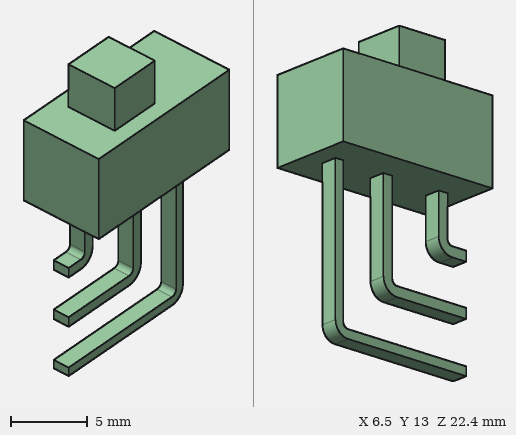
import cadquery as cq

overall_height = 22.35

body_width = 6.5
body_length = 2 * body_width
body_height = body_width

knob_side = 4.0
knob_height = 3.46
knob_offset_y = -1.48

pin_width = 1.3
pin_thickness = 0.78
longest_pin_thickness = 0.7
bend_inner_radius = 0.4
pin_row_pitch = 4.0
longest_drop = overall_height - body_height - knob_height
longest_pin_y = 4.54
shortest_pin_y = -4.5
middle_pin_y = 0.31
pin_end_y = -body_length / 2


def make_housing():
    return cq.Workplane("XY").box(body_width, body_length, body_height, centered=(True, True, False))


def make_knob():
    return (
        cq.Workplane("XY", origin=(0, knob_offset_y, body_height))
        .box(knob_side, knob_side, knob_height, centered=(True, True, False))
    )


def make_pin(center_y, drop, thickness):
    """Terminal going down from the housing by drop, then bent towards -Y."""
    bend_outer_radius = bend_inner_radius + thickness
    back_y = center_y + thickness / 2
    front_y = center_y - thickness / 2
    leg = (
        cq.Workplane("YZ")
        .moveTo(back_y, 0)
        .lineTo(back_y, -drop + bend_outer_radius)
        .radiusArc((back_y - bend_outer_radius, -drop), bend_outer_radius)
        .lineTo(pin_end_y, -drop)
        .lineTo(pin_end_y, -drop + thickness)
        .lineTo(front_y - bend_inner_radius, -drop + thickness)
        .radiusArc((front_y, -drop + bend_outer_radius), -bend_inner_radius)
        .lineTo(front_y, 0)
        .close()
    )
    return leg.extrude(pin_width / 2, both=True)


longest_pin = (longest_pin_y, longest_drop, longest_pin_thickness)
middle_pin = (middle_pin_y, longest_drop - pin_row_pitch, pin_thickness)
shortest_pin = (shortest_pin_y, longest_drop - 2 * pin_row_pitch, pin_thickness)

result = make_housing().union(make_knob())
for center_y, drop, thickness in (longest_pin, middle_pin, shortest_pin):
    result = result.union(make_pin(center_y, drop, thickness))